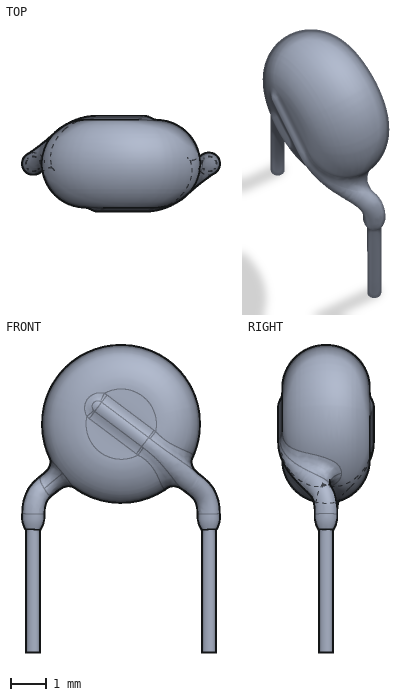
import cadquery as cq
import math

body_diameter = 4.5
body_thickness = 2.5
body_center_z = 3.0
rim_radius = body_thickness / 2
flat_radius = body_diameter / 2 - rim_radius

lead_pitch = 5.0
lead_x = lead_pitch / 2
wire_radius = 0.2
wire_length = 3.5

coat_radius = 0.32
cap_height = 0.45
cap_bulge = 0.04
cap_end_radius = 0.22
cap_lean = math.radians(1)
cap_top_x = lead_x - cap_height * math.tan(cap_lean)
blend_radius = 0.5

ridge_height = 0.115
ridge_y = -(body_thickness / 2 + ridge_height - coat_radius)
ridge_slope = math.atan2(3, 4)
ridge_tip_distance = 0.82

ridge_end_distance = 0.85
bend_middle = cq.Vector(2.0, -0.36, 1.34)

surface_tolerance = 1e-3


def ridge_point(distance):
    """Point on the ridge axis, measured outwards from the disc axis."""
    return cq.Vector(
        distance * math.cos(ridge_slope),
        ridge_y,
        body_center_z - distance * math.sin(ridge_slope),
    )


def make_body():
    face_y = body_thickness / 2
    disc = (
        cq.Workplane("XY")
        .moveTo(0, -face_y)
        .lineTo(flat_radius, -face_y)
        .threePointArc((flat_radius + rim_radius, 0), (flat_radius, face_y))
        .lineTo(0, face_y)
        .close()
        .revolve(360, (0, 0, 0), (0, 1, 0))
    )
    return disc.translate((0, 0, body_center_z))


def make_cap():
    """Tapered, slightly bulging end of the coating around the wire."""
    middle_radius = (coat_radius + cap_end_radius) / 2 + cap_bulge
    cap = (
        cq.Workplane("XZ")
        .lineTo(coat_radius, 0)
        .threePointArc((middle_radius, -cap_height / 2), (cap_end_radius, -cap_height))
        .lineTo(0, -cap_height)
        .close()
        .revolve(360, (0, 0, 0), (0, 1, 0))
    )
    leaning = cap.rotate((0, 0, 0), (0, 1, 0), -math.degrees(cap_lean))
    return leaning.translate((cap_top_x, 0, cap_height))


def make_coated_lead():
    """Round-tipped tube along the ridge, then round the bend to the wire."""
    tip = ridge_point(-ridge_tip_distance)
    ridge_end = ridge_point(ridge_end_distance)
    lead_end = cq.Vector(cap_top_x, 0, cap_height)

    ridge_direction = (ridge_end - tip).normalized()
    ridge = cq.Edge.makeLine(tip, ridge_end)
    bend = cq.Edge.makeSpline(
        [ridge_end, bend_middle, lead_end],
        tangents=[ridge_direction, cq.Vector(math.sin(cap_lean), 0, -math.cos(cap_lean))],
    )
    path = cq.Workplane(obj=cq.Wire.assembleEdges([ridge, bend]))

    tip_plane = cq.Plane(origin=tip, xDir=(0, 1, 0), normal=ridge_direction)
    tube = cq.Workplane(tip_plane).circle(coat_radius).sweep(path, transition="right")
    round_tip = cq.Workplane(tip_plane).sphere(coat_radius)
    return round_tip.union(tube).union(make_cap())


def make_wire():
    """Straight wire, rooted inside the cap."""
    root_z = cap_height / 2
    wire = cq.Workplane("XY", origin=(lead_x, 0, root_z)).circle(wire_radius)
    return wire.extrude(-wire_length - root_z)


def lies_on(edge, shell):
    samples = [edge.positionAt(fraction) for fraction in (0.2, 0.5, 0.8)]
    return all(
        cq.Vertex.makeVertex(*point.toTuple()).distance(shell) < surface_tolerance
        for point in samples
    )


def half_turn(shape):
    """Copy for the opposite lead, half a turn about Z."""
    return shape.rotate((0, 0, 0), (0, 0, 1), 180)


body = make_body()
leads = [make_coated_lead()]
leads.append(half_turn(leads[0]))
coated = body
for lead in leads:
    coated = coated.union(lead)

body_shell = body.val().Shells()[0]
for lead in leads:
    lead_shell = lead.val().Shells()[0]
    seam = coated.edges().filter(lambda edge: lies_on(edge, body_shell) and lies_on(edge, lead_shell))
    coated = seam.fillet(blend_radius)

wire = make_wire()
result = coated.union(wire).union(half_turn(wire))